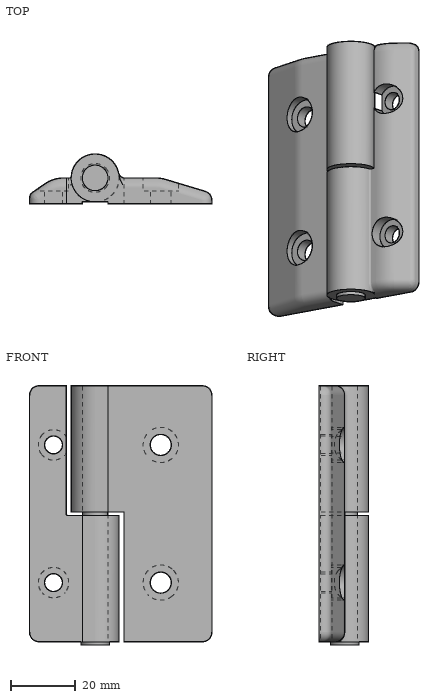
import cadquery as cq

leaf_height = 80.0
leaf_thickness = 8.1
edge_round = 3.0
bend_radius = 10.0

pin_radius = 4.0
pin_head_radius = 4.5
pin_head_height = 1.0

knuckle_radius = 7.5
knuckle_gap = 1.0
knuckle_clearance = 1.5
relief_width = 4.0

hole_offset = 21.5
counterbore_floor = 4.0

narrow_reach = 20.5
narrow_bend_reach = 13.0
narrow_rim_height = 2.95
narrow_nose_radius = 2.0
narrow_root_radius = 0.5
narrow_root_margin = 0.1
narrow_notch_radius = 0.5
narrow_hole_reach = 13.0
narrow_hole_diameter = 5.5
narrow_counterbore_diameter = 9.5

wide_reach = 36.5
wide_bend_reach = 20.5
wide_rim_height = 3.3
wide_nose_radius = 3.0
wide_root_radius = 2.0
wide_root_margin = 0.0
wide_notch_radius = 0.0
wide_hole_reach = 20.5
wide_hole_diameter = 6.5
wide_counterbore_diameter = 11.0

half_height = leaf_height / 2
mount_y = -leaf_thickness
notch_reach = knuckle_radius + knuckle_clearance

oversize = 2 * leaf_height
edge_clearance = 0.1


def cylinder_z(radius, bottom, top):
    """Upright cylinder on the pin axis."""
    return cq.Workplane("XY", origin=(0, 0, bottom)).circle(radius).extrude(top - bottom)


def edge_nearest(x, y):
    """Selector for the upright edge that passes closest to (x, y) at mid height."""
    return cq.selectors.NearestToPointSelector((x, y, 0))


def plate(reach, bend_reach, rim_height, nose_radius):
    """Full-height plate from the pin axis out to +X, sloping down to a thin rim."""
    rim_y = mount_y + rim_height
    outline = [
        (0, 0),
        (0, mount_y),
        (reach, mount_y),
        (reach, rim_y),
        (bend_reach, 0),
    ]
    body = cq.Workplane("XY", origin=(0, 0, -half_height)).polyline(outline).close().extrude(leaf_height)
    body = body.edges(edge_nearest(bend_reach, 0)).fillet(bend_radius)
    body = body.edges(edge_nearest(reach, rim_y)).fillet(nose_radius)

    back_and_rim = cq.selectors.BoxSelector(
        (relief_width, mount_y + edge_clearance, -oversize), (oversize, oversize, oversize)
    )
    return body.faces("|Z").edges(back_and_rim).fillet(edge_round)


def relief():
    """Cutter that leaves a shallow flat under the knuckle, level with its underside."""
    cutter = cq.Workplane("XY").box(oversize, oversize, oversize)
    return cutter.translate((relief_width - oversize / 2, -knuckle_radius - oversize / 2, 0))


def add_knuckle(body, root_radius, root_margin):
    """Joins a full-height knuckle to a plate and blends its root into the back of the plate.

    The blend stops short of both ends by root_margin.
    """
    joined = body.union(cylinder_z(knuckle_radius, -half_height, half_height))
    blend_height = leaf_height - 2 * root_margin
    blended = joined.intersect(cq.Workplane("XY").box(oversize, oversize, blend_height))
    blended = blended.edges(edge_nearest(knuckle_radius, 0)).fillet(root_radius)
    return blended.union(joined) if root_margin > 0 else blended


def mounting_holes(x, diameter, counterbore_diameter):
    """Cutters for the two screw holes, counterbored from the back."""
    centres = [(x, hole_offset), (x, -hole_offset)]
    plane = cq.Workplane("XZ", origin=(0, mount_y, 0))
    shanks = plane.pushPoints(centres).circle(diameter / 2).extrude(-2 * leaf_thickness)
    heads = (
        plane.workplane(offset=-counterbore_floor)
        .pushPoints(centres)
        .circle(counterbore_diameter / 2)
        .extrude(-2 * leaf_thickness)
    )
    return shanks.union(heads)


def knuckle_notch(notch_corner_radius):
    """Cutter that frees the upper half of a leaf for the other leaf's knuckle."""
    bottom = -knuckle_gap / 2
    cutter = cq.Workplane("XY", origin=(0, 0, bottom)).center(notch_reach - oversize / 2, 0)
    cutter = cutter.rect(oversize, oversize).extrude(oversize)
    if notch_corner_radius > 0:
        cutter = cutter.edges(">X and <Z").fillet(notch_corner_radius)
    return cutter


def leaf(reach, bend_reach, rim_height, nose_radius, root_radius, root_margin, notch_radius, holes):
    """Leaf on the +X side with its knuckle at the bottom."""
    body = plate(reach, bend_reach, rim_height, nose_radius)
    body = body.cut(relief())
    body = add_knuckle(body, root_radius, root_margin)
    body = body.cut(knuckle_notch(notch_radius))
    body = body.cut(cylinder_z(pin_radius, -oversize, oversize))
    return body.cut(holes)


narrow_leaf = leaf(
    narrow_reach,
    narrow_bend_reach,
    narrow_rim_height,
    narrow_nose_radius,
    narrow_root_radius,
    narrow_root_margin,
    narrow_notch_radius,
    mounting_holes(narrow_hole_reach, narrow_hole_diameter, narrow_counterbore_diameter),
).mirror("YZ")

wide_leaf = leaf(
    wide_reach,
    wide_bend_reach,
    wide_rim_height,
    wide_nose_radius,
    wide_root_radius,
    wide_root_margin,
    wide_notch_radius,
    mounting_holes(wide_hole_reach, wide_hole_diameter, wide_counterbore_diameter),
).mirror("XY")

pin = cylinder_z(pin_radius, -half_height, half_height)
pin = pin.union(cylinder_z(pin_head_radius, -half_height - pin_head_height, -half_height))

result = cq.Compound.makeCompound([narrow_leaf.val(), wide_leaf.val(), pin.val()])